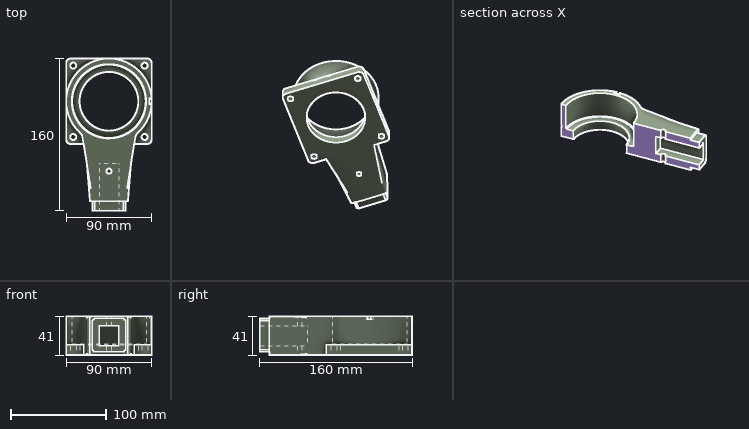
import cadquery as cq

plate_side = 90.0
plate_thickness = 11.2
plate_corner_radius = 5.0
bolt_offset = 37.5
bolt_hole_diameter = 6.0
height = 41.0
overall_length = 160.0
ring_diameter = 89.8
through_diameter = 61.5
bore_diameter = 78.2
seat_diameter = 77.0
seat_height = 0.6

arm_end_y = -105.0
arm_root_half_width = 34.0
arm_end_half_width = 16.8
arm_blend_radius = 6.7
arm_hole_diameter = 5.1
arm_hole_y = -73.3

sleeve_start_y = -55.0
sleeve_start_half_width = 24.2
sleeve_end_half_width = 20.0
sleeve_edge_radius = 2.0

spigot_length = overall_length - plate_side / 2 + arm_end_y
spigot_width = 34.9
spigot_bottom = 3.4
spigot_top = 38.5
spigot_chamfer = 2.4
socket_side = 20.8
socket_depth = 50.0

mark_base_x = 42.2
mark_tip_x = 47.7
mark_half_width = 3.4
mark_depth = 3.0


def tapered_block(start_y, start_half_width, end_half_width):
    """Full-height block narrowing symmetrically from start_y to the arm end."""
    return (
        cq.Workplane("XY")
        .polyline([
            (-start_half_width, start_y),
            (start_half_width, start_y),
            (end_half_width, arm_end_y),
            (-end_half_width, arm_end_y),
        ])
        .close()
        .extrude(height)
    )


def make_housing():
    """Round housing blended into the tapered arm."""
    ring = cq.Workplane("XY").circle(ring_diameter / 2).extrude(height)
    housing = ring.union(tapered_block(0, arm_root_half_width, arm_end_half_width))
    junction = cq.selectors.BoxSelector(
        (-ring_diameter / 2, arm_end_y / 2, 0),
        (ring_diameter / 2, -1.6, height),
    )
    return housing.edges("|Z").edges(junction).fillet(arm_blend_radius)


def make_plate():
    """Square mounting plate with rounded corners."""
    return (
        cq.Workplane("XY")
        .rect(plate_side, plate_side)
        .extrude(plate_thickness)
        .edges("|Z")
        .fillet(plate_corner_radius)
    )


def make_sleeve():
    """Arm end block with its four long edges rounded."""
    sleeve = tapered_block(sleeve_start_y, sleeve_start_half_width, sleeve_end_half_width)
    return sleeve.edges("not(|X or |Z)").fillet(sleeve_edge_radius)


def make_spigot():
    """Rectangular spigot with chamfered long edges."""
    return (
        cq.Workplane("XZ", origin=(0, arm_end_y, (spigot_bottom + spigot_top) / 2))
        .rect(spigot_width, spigot_top - spigot_bottom)
        .extrude(spigot_length)
        .edges("|Y")
        .chamfer(spigot_chamfer)
    )


def vertical_cutter(diameter, bottom_z, top_z, points=((0, 0),)):
    """Vertical cylinders at the given points."""
    return (
        cq.Workplane("XY", origin=(0, 0, bottom_z))
        .pushPoints(points)
        .circle(diameter / 2)
        .extrude(top_z - bottom_z)
    )


def make_socket():
    """Square cavity running from the spigot face into the arm."""
    return (
        cq.Workplane("XZ", origin=(0, arm_end_y - spigot_length, height / 2))
        .rect(socket_side, socket_side)
        .extrude(-socket_depth)
    )


def make_index_mark():
    """Shallow triangular notch pointing outwards through the rim."""
    return (
        cq.Workplane("XY", origin=(0, 0, height - mark_depth))
        .polyline([
            (mark_base_x, -mark_half_width),
            (mark_tip_x, 0),
            (mark_base_x, mark_half_width),
        ])
        .close()
        .extrude(mark_depth)
    )


solid = make_housing().union(make_plate()).union(make_sleeve()).union(make_spigot())

offsets = (-bolt_offset, bolt_offset)
bolt_points = [(x, y) for x in offsets for y in offsets]
seat_top = plate_thickness + seat_height

result = (
    solid
    .cut(vertical_cutter(through_diameter, 0, height))
    .cut(vertical_cutter(seat_diameter, plate_thickness, height))
    .cut(vertical_cutter(bore_diameter, seat_top, height))
    .cut(vertical_cutter(bolt_hole_diameter, 0, plate_thickness, bolt_points))
    .cut(vertical_cutter(arm_hole_diameter, 0, height, [(0, arm_hole_y)]))
    .cut(make_socket())
    .cut(make_index_mark())
)